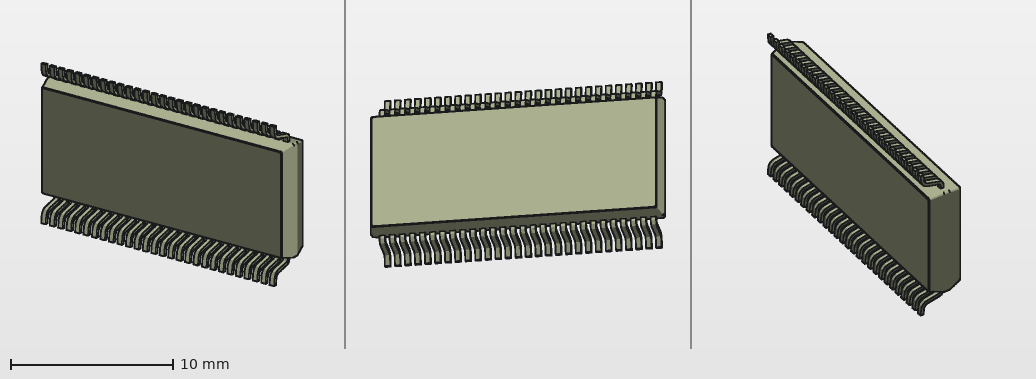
import cadquery as cq
import math

body_length = 18.54
overall_height = 10.65
body_height = 7.62

band_thickness = 0.39
front_depth = 0.99
back_depth = 0.97
draft_angle = 15
corner_radius = 0.12
bevel_depth = 0.06
bevel_width = 0.05

leads_per_side = 28
lead_pitch = 0.635
lead_width = 0.34
lead_thickness = 0.225
lead_exit_y = -0.03
foot_face_y = -1.605
exit_bend_radius = 0.28
foot_bend_radius = 0.45
foot_tilt = 6
lead_slope = 13
exit_corner_rise = 0.425
root_depth = 0.5


def rounded_slab(start_y, start_inset, end_y, end_inset):
    """Sloped-sided slab between two body outlines, each drawn in by its own inset."""
    def outline(inset, y):
        sketch = cq.Sketch().rect(body_length - 2 * inset, body_height - 2 * inset)
        return sketch.vertices().fillet(corner_radius).moved(cq.Location(cq.Vector(0, 0, -y)))

    return (
        cq.Workplane("XZ")
        .placeSketch(outline(start_inset, start_y), outline(end_inset, end_y))
        .loft(ruled=True)
    )


def body_half(depth, direction):
    """One tapered half of the body, with a bevel around its flat outer face."""
    band_face_y = direction * band_thickness / 2
    outer_y = band_face_y + direction * depth
    bevel_y = outer_y - direction * bevel_depth
    bevel_inset = (depth - bevel_depth) * math.tan(math.radians(draft_angle))
    sides = rounded_slab(band_face_y, 0, bevel_y, bevel_inset)
    bevel = rounded_slab(bevel_y, bevel_inset, outer_y, bevel_inset + bevel_width)
    return sides.union(bevel)


def make_body():
    band = cq.Workplane("XY").box(body_length, band_thickness, body_height)
    band = band.edges("|Y").fillet(corner_radius)
    front = body_half(front_depth, -1)
    back = body_half(back_depth, 1)
    return band.union(front).union(back)


def foot_bend_position(slope, tilt):
    """Centre of the foot bend, one bend radius above the sloping run and behind the foot."""
    tip_y = foot_face_y + lead_thickness / math.cos(tilt) / 2
    tip_z = overall_height / 2
    corner_z = body_height / 2 + exit_corner_rise
    along_foot_normal = tip_y * math.cos(tilt) + tip_z * math.sin(tilt) + foot_bend_radius
    along_run_normal = lead_exit_y * math.sin(slope) + corner_z * math.cos(slope) + foot_bend_radius
    divisor = math.cos(slope + tilt)
    centre_y = (along_foot_normal * math.cos(slope) - along_run_normal * math.sin(tilt)) / divisor
    centre_z = (along_run_normal * math.cos(tilt) - along_foot_normal * math.sin(slope)) / divisor
    return centre_y, centre_z


def polar_point(centre, radius, angle):
    return centre[0] + radius * math.cos(angle), centre[1] + radius * math.sin(angle)


def make_lead():
    """One upper lead at X = 0: a flat strip bent to a gull-wing profile."""
    slope = math.radians(lead_slope)
    tilt = math.radians(foot_tilt)
    half_thickness = lead_thickness / 2
    root_z = body_height / 2 - root_depth
    tip_z = overall_height / 2

    exit_end = math.pi / 2 - slope
    exit_middle = exit_end / 2
    exit_tangent = exit_bend_radius * math.tan(exit_end / 2)
    exit_centre = (lead_exit_y - exit_bend_radius, body_height / 2 + exit_corner_rise - exit_tangent)
    exit_inner = exit_bend_radius - half_thickness
    exit_outer = exit_bend_radius + half_thickness

    foot_start = math.pi + exit_end
    foot_end = math.pi + tilt
    foot_middle = (foot_start + foot_end) / 2
    foot_centre = foot_bend_position(slope, tilt)
    foot_inner = foot_bend_radius - half_thickness
    foot_outer = foot_bend_radius + half_thickness
    tip_width = lead_thickness / math.cos(tilt)

    profile = (
        cq.Workplane("YZ", origin=(-lead_width / 2, 0, 0))
        .moveTo(lead_exit_y + half_thickness, root_z)
        .lineTo(*polar_point(exit_centre, exit_outer, 0))
        .threePointArc(
            polar_point(exit_centre, exit_outer, exit_middle),
            polar_point(exit_centre, exit_outer, exit_end),
        )
        .lineTo(*polar_point(foot_centre, foot_inner, foot_start))
        .threePointArc(
            polar_point(foot_centre, foot_inner, foot_middle),
            polar_point(foot_centre, foot_inner, foot_end),
        )
        .lineTo(foot_face_y + tip_width, tip_z)
        .lineTo(foot_face_y, tip_z)
        .lineTo(*polar_point(foot_centre, foot_outer, foot_end))
        .threePointArc(
            polar_point(foot_centre, foot_outer, foot_middle),
            polar_point(foot_centre, foot_outer, foot_start),
        )
        .lineTo(*polar_point(exit_centre, exit_inner, exit_end))
        .threePointArc(
            polar_point(exit_centre, exit_inner, exit_middle),
            polar_point(exit_centre, exit_inner, 0),
        )
        .lineTo(lead_exit_y - half_thickness, root_z)
        .close()
    )
    return profile.extrude(lead_width)


def make_leads():
    """Both rows of leads, evenly pitched and centred on X = 0."""
    upper_lead = make_lead()
    lower_lead = upper_lead.mirror("XY")
    first_x = -lead_pitch * (leads_per_side - 1) / 2
    positions = [(first_x + index * lead_pitch, 0) for index in range(leads_per_side)]
    rows = cq.Workplane("XY").pushPoints(positions)
    upper_row = rows.eachpoint(upper_lead.val(), combine=False)
    lower_row = rows.eachpoint(lower_lead.val(), combine=False)
    return upper_row.add(lower_row)


body = make_body()
leads = make_leads()
result = cq.Workplane(body.val().fuse(*leads.vals()).Solids()[0])